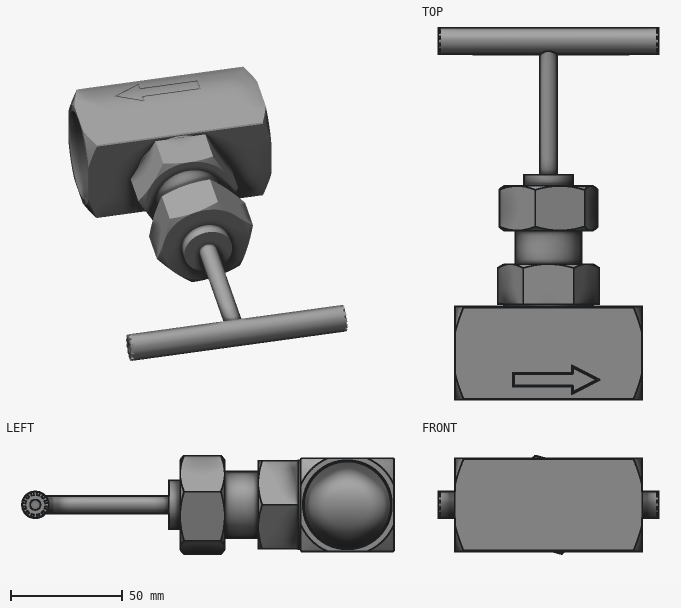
import cadquery as cq
import math

body_length = 84.0
body_width = 42.0
body_edge_chamfer = 0.5
end_cone_diameter = 45.5
end_cone_angle = 30
bore_diameter = 38.9
bore_mouth_diameter = 40.0

plug_diameter = 40.0
plug_gap = 1.0
lower_nut_height = 18.0
neck_diameter = 30.0
neck_length = 15.0
upper_nut_height = 20.0
collar_diameter = 22.0
collar_length = 5.0

nut_corner_diameter = 45.8
nut_chamfer_diameter = 39.5
nut_chamfer_angle = 30
upper_nut_turn = 15

overall_height = 167.0
stem_diameter = 8.0
handle_length = 99.0
handle_diameter = 12.0
handle_center_hole_diameter = 4.7
handle_center_hole_depth = 1.2
notch_count = 12
notch_width = 1.2
notch_depth = 1.0
notch_inner_diameter = 8.9

arrow_tail = -16.0
arrow_shoulder = 10.4
arrow_tip = 23.0
arrow_level = 9.0
arrow_shaft_width = 6.3
arrow_head_width = 13.0
arrow_groove_width = 0.7
arrow_groove_depth = 0.3

body_axis = body_width / 2
lower_nut_base = body_width + plug_gap
neck_base = lower_nut_base + lower_nut_height
upper_nut_base = neck_base + neck_length
collar_base = upper_nut_base + upper_nut_height
collar_top = collar_base + collar_length
handle_axis = overall_height - handle_diameter / 2


def cylinder_y(diameter, start, end):
    """Cylinder about the Y axis between two Y levels."""
    return cq.Workplane("XZ", origin=(0, start, 0)).circle(diameter / 2).extrude(start - end)


def cylinder_x(diameter, length, axis_level):
    """Cylinder along X, centred on X = 0, at the given Y level."""
    plane = cq.Workplane("YZ", origin=(-length / 2, axis_level, 0))
    return plane.circle(diameter / 2).extrude(length)


def cone_envelope(length, face_diameter, outer_diameter, angle, both_ends):
    """Round bar along Z from zero to length, coned at its far end or at both ends."""
    face_radius = face_diameter / 2
    outer_radius = outer_diameter / 2
    drop = (outer_radius - face_radius) * math.tan(math.radians(angle))
    profile = cq.Workplane("XZ")
    if both_ends:
        profile = profile.lineTo(face_radius, 0).lineTo(outer_radius, drop)
    else:
        profile = profile.lineTo(outer_radius, 0)
    profile = profile.lineTo(outer_radius, length - drop).lineTo(face_radius, length).lineTo(0, length)
    return profile.close().revolve(360, (0, 0), (0, 1))


def make_nut(base, height, turn, both_ends):
    """Hexagonal nut about Y; a turn of zero puts two corners on the X axis."""
    hexagon = cq.Workplane("XY").polygon(6, nut_corner_diameter).extrude(height)
    hexagon = hexagon.rotate((0, 0, 0), (0, 0, 1), turn)
    envelope = cone_envelope(
        height, nut_chamfer_diameter, nut_corner_diameter, nut_chamfer_angle, both_ends
    )
    nut = hexagon.intersect(envelope)
    return nut.rotate((0, 0, 0), (1, 0, 0), -90).translate((0, base, 0))


def make_body():
    """Square bar with coned ends and a through bore with chamfered mouths."""
    bar = cq.Workplane("XY").box(body_length, body_width, body_width)
    bar = bar.edges("|X").chamfer(body_edge_chamfer)
    diagonal = body_width * math.sqrt(2)
    envelope = cone_envelope(body_length, end_cone_diameter, diagonal, end_cone_angle, True)
    envelope = envelope.translate((0, 0, -body_length / 2)).rotate((0, 0, 0), (0, 1, 0), 90)
    body = bar.intersect(envelope).translate((0, body_axis, 0))
    body = body.cut(cylinder_x(bore_diameter, body_length, body_axis))
    mouth_chamfer = (bore_mouth_diameter - bore_diameter) / 2
    end_circles = body.faces("<X or >X").edges("%CIRCLE")
    return end_circles.edges(cq.selectors.RadiusNthSelector(0)).chamfer(mouth_chamfer)


def make_plug():
    """Round plug under the lower nut that closes the middle of the bore."""
    inside = cylinder_y(plug_diameter, 0, body_width)
    inside = inside.intersect(cylinder_x(bore_diameter, body_length, body_axis))
    return inside.union(cylinder_y(plug_diameter, body_axis, lower_nut_base))


def make_arrow_groove():
    """Groove that follows the outline of an arrow pointing along +X."""
    half_shaft = arrow_shaft_width / 2
    half_head = arrow_head_width / 2
    lower_half = [(arrow_tail, -half_shaft), (arrow_shoulder, -half_shaft), (arrow_shoulder, -half_head)]
    upper_half = [(x, -y) for x, y in reversed(lower_half)]
    outline = lower_half + [(arrow_tip, 0)] + upper_half
    plane = cq.Workplane("XY", origin=(0, arrow_level, body_width / 2 - arrow_groove_depth))
    outer = plane.polyline(outline).close().extrude(arrow_groove_depth)
    inner = plane.polyline(outline).close().offset2D(-arrow_groove_width).extrude(arrow_groove_depth)
    return outer.cut(inner)


def make_notches():
    """Ring of sloped notches in the rim at the +X end of the handle."""
    rim_start = handle_length / 2 - notch_depth
    plane = cq.Workplane("YZ", origin=(rim_start, 0, 0))
    rim = plane.circle(handle_diameter / 2).extrude(notch_depth)
    slope = plane.circle(handle_diameter / 2).workplane(offset=notch_depth)
    rim = rim.cut(slope.circle(notch_inner_diameter / 2).loft())
    half_step = 180 / notch_count
    spokes = cq.Workplane("YZ")
    for i in range(notch_count // 2):
        spoke = plane.rect(2 * handle_diameter, notch_width).extrude(notch_depth)
        spokes = spokes.union(spoke.rotate((0, 0, 0), (1, 0, 0), half_step * (2 * i + 1)))
    return rim.intersect(spokes).translate((0, handle_axis, 0))


def make_handle():
    """Crossbar with a shallow centre hole and a notched rim at each end."""
    bar = cylinder_x(handle_diameter, handle_length, handle_axis)
    solid_core = cylinder_x(
        handle_center_hole_diameter, handle_length - 2 * handle_center_hole_depth, handle_axis
    )
    holes = cylinder_x(handle_center_hole_diameter, handle_length, handle_axis).cut(solid_core)
    notches = make_notches()
    return bar.cut(holes).cut(notches).cut(notches.mirror("YZ"))


body = make_body().cut(make_arrow_groove())
result = body.union(make_plug())
result = result.union(make_nut(lower_nut_base, lower_nut_height, 0, False))
result = result.union(cylinder_y(neck_diameter, neck_base, upper_nut_base))
result = result.union(make_nut(upper_nut_base, upper_nut_height, upper_nut_turn, True))
result = result.union(cylinder_y(collar_diameter, collar_base, collar_top))
result = result.union(cylinder_y(stem_diameter, collar_top, handle_axis))
result = result.union(make_handle())